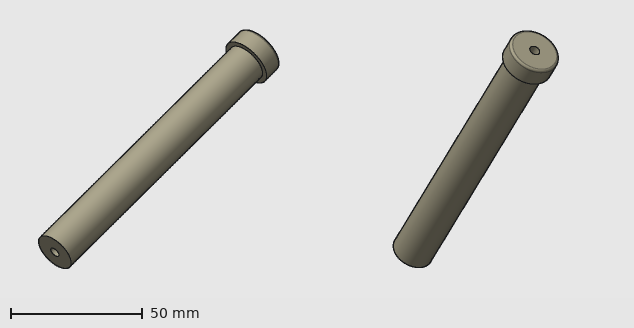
import cadquery as cq

total_length = 123.0
head_diameter = 20.0
head_length = 8.0
head_edge_radius = 1.0
shank_diameter = 16.0
bore_diameter = 4.0

head_face_y = total_length / 2


def cylinder_from_head(diameter, length):
    """Cylinder that starts at the outer head face and runs towards the shank tip."""
    return (
        cq.Workplane("XZ", origin=(0, head_face_y, 0))
        .circle(diameter / 2)
        .extrude(length)
    )


head = cylinder_from_head(head_diameter, head_length).faces(">Y").edges().fillet(head_edge_radius)

shank = cylinder_from_head(shank_diameter, total_length)

bore = cylinder_from_head(bore_diameter, total_length)

result = head.union(shank).cut(bore)